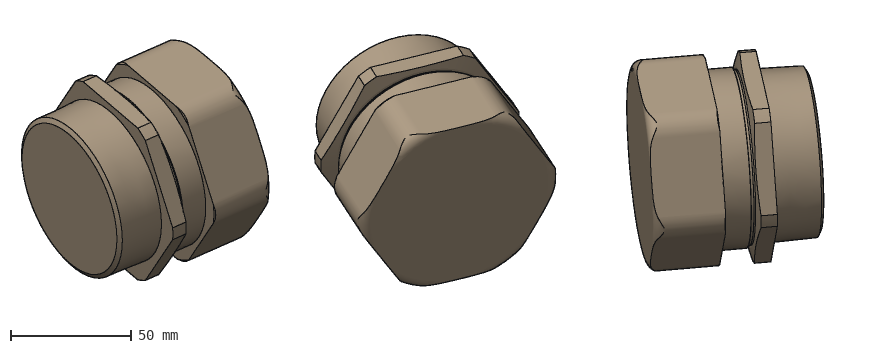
import cadquery as cq
import math

across_flats = 80.0
across_corners = 89.0
total_length = 72.6

nose_length = 21.0
nose_base_diameter = 72.8
nose_end_diameter = 71.9
nose_chamfer_length = 1.25
nose_tip_diameter = 67.6

flange_thickness = 8.1
flange_face_diameter = 75.8
flange_chamfer_drop = 1.25

collar_diameter = 75.8
neck_diameter = 74.1
groove_diameter = 73.8
neck_length = 1.25

cap_length = 30.0
collar_length = 11.6
cap_corner_radius = 11.1
cap_rear_radius = 4.7
cap_front_chamfer = 0.8
cap_front_chamfer_drop = 0.45

flange_start = nose_length
flange_end = flange_start + flange_thickness
cap_start = total_length - cap_length
collar_start = cap_start - collar_length
neck_start = collar_start - neck_length
corner_radius = across_corners / 2


def revolve_profile(profile):
    """Turn a closed (radius, y) profile about the Y axis."""
    return profile.close().revolve(360, (0, 0, 0), (0, 1, 0))


def hexagon(start, length):
    """Hexagonal prism along +Y with corners on the X axis."""
    vertex_diameter = across_flats / math.cos(math.pi / 6)
    plane = cq.Workplane("XZ", origin=(0, start + length, 0))
    return plane.polygon(6, vertex_diameter).extrude(length)


def turned_core():
    """Tapered nose and stepped neck, running into both hexagons."""
    profile = (
        cq.Workplane("XY")
        .lineTo(nose_tip_diameter / 2, 0)
        .lineTo(nose_end_diameter / 2, nose_chamfer_length)
        .lineTo(nose_base_diameter / 2, flange_start)
        .lineTo(groove_diameter / 2, flange_start)
        .lineTo(groove_diameter / 2, neck_start)
        .lineTo(neck_diameter / 2, neck_start)
        .lineTo(neck_diameter / 2, collar_start)
        .lineTo(collar_diameter / 2, collar_start)
        .lineTo(collar_diameter / 2, cap_start)
        .lineTo(0, cap_start)
    )
    return revolve_profile(profile)


def flange():
    """Thin hexagon with turned corners and a chamfered rear face."""
    envelope = revolve_profile(
        cq.Workplane("XY")
        .moveTo(0, flange_start)
        .lineTo(corner_radius, flange_start)
        .lineTo(corner_radius, flange_end - flange_chamfer_drop)
        .lineTo(flange_face_diameter / 2, flange_end)
        .lineTo(0, flange_end)
    )
    return hexagon(flange_start, flange_thickness).intersect(envelope)


def cap_nut():
    """Thick hexagon with rounded corners and a turned, rounded rear end."""
    prism = hexagon(cap_start, cap_length).edges("|Y").fillet(cap_corner_radius)
    envelope = revolve_profile(
        cq.Workplane("XY")
        .moveTo(0, cap_start)
        .lineTo(corner_radius - cap_front_chamfer, cap_start)
        .lineTo(corner_radius, cap_start + cap_front_chamfer_drop)
        .lineTo(corner_radius, total_length - cap_rear_radius)
        .radiusArc((corner_radius - cap_rear_radius, total_length), -cap_rear_radius)
        .lineTo(0, total_length)
    )
    return prism.intersect(envelope)


result = turned_core().union(flange()).union(cap_nut())